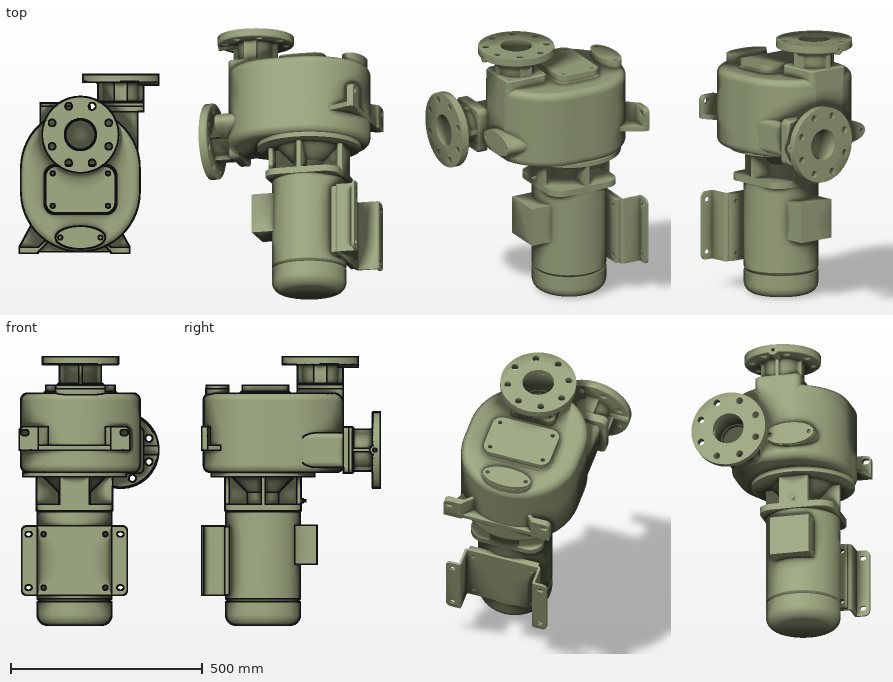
import cadquery as cq
import math


MOTOR_R = 97.5
CAP_TOP_Z = 61.0
CAP_FILLET = 28.0
SHELL_BOTTOM_Z = 69.5
SHELL_BOTTOM_R = 88.5
SHELL_TOP_Z = 296.0
SPIGOT_R = 94.0
LANTERN_Z = 299.5

TERMINAL_BOX_W = 105.0
TERMINAL_BOX_Y = (81.5, 141.0)
TERMINAL_BOX_Z = (159.0, 262.0)

FOOT_W = 189.5
FOOT_BACK_Y = -88.0
FOOT_FACE_Y = -99.5
FOOT_Z = (80.0, 257.0)
MOUNT_FACE_Y = -160.5
SHEET = 6.0
WEB_BEND_R = 3.5
TAB_BEND_R = 5.0
BRACKET_WALL_X = 104.0
BRACKET_TIP_X = 138.0
BRACKET_Z = (78.0, 259.5)
BRACKET_CORNER_R = 14.0
BRACKET_HOLE_Z = (98.0, 238.0)
WEB_HOLE_X = 81.0
WEB_HOLE_D = 12.5
TAB_SLOT_X = 120.0
TAB_SLOT = (17.0, 12.5)

LANTERN_HALF = 99.5
LANTERN_CORNER_R = 39.0
LANTERN_BASE_TOP_Z = 316.0
LANTERN_HUB_R = 41.5
LANTERN_CONE_R = 81.5
LANTERN_CONE_Z = 347.0
LANTERN_WALL = (77.0, 11.0)
LANTERN_RIB_T = 10.5
NIPPLE_Z = 325.0
NIPPLE_STEM_R = 5.0
NIPPLE_HEAD_R = 3.0
NIPPLE_STEM_L = 5.5
NIPPLE_L = 11.0
COVER_DISC_R = 135.5
COVER_DISC_Z = 387.0

CASING_X = 15.5
CASING_R = 156.0
CASING_STRAIGHT = 61.0
CASING_BACK_Y = 210.0
CASING_BOTTOM_Z = 399.0
CASING_TOP_Z = 606.0
CASING_FILLET = 19.0

FLANGE_LENGTH = 83.5
FLANGE_R = 99.5
FLANGE_T = 21.0
BORE_R = 41.5
BOLT_CIRCLE_R = 80.0
BOLT_COUNT = 8
BOLT_D = 18.0
PIPE_R = 46.0
SQUARE = 121.0
SQUARE_CORNER_R = 15.0
SQUARE_T = 13.0
SQUARE_CHAMFER = 3.5
SQUARE_BOLT_PITCH = 95.5
SQUARE_BOLT_D = 8.5
FLAT_RIB = (109.5, 34.0)
THIN_RIB = (8.5, 119.0)
RIB_ROOT_R = 3.5
NECK_FILLET = 4.0
RIM_FILLET = 3.0
GAUGE_BOSS_R = 13.0
GAUGE_DEPTH = 15.0
GAUGE_HOLE_D = 10.0

PORT_R = 38.5
PORT_DEPTH = 12.0
SUCTION_Y = 149.5
DISCHARGE_X = 121.0
DISCHARGE_Z = 457.5
DISCHARGE_JOINT_Y = 223.0
NOZZLE = 90.0
NOZZLE_START_Y = 56.0

LID_TOP_Z = 627.0
LID_X = 181.0
LID_Y = (-55.0, 66.5)
LID_CORNER_R = 25.0
LID_FOOT = 4.0
LID_FOOT_CHAMFER = 3.5
LID_BOLT_PITCH_X = 144.5
LID_BOLT_PITCH_Y = 85.0
COVER_BOLT_D = 12.0
OVAL_A = 64.5
OVAL_B = 29.5
OVAL_PLATE_T = 9.0
OVAL_SEAT_STEP = 1.0
OVAL_BOLT_X = 52.5
OVAL_LID_Y = -119.0
OVAL_BACK_X = -24.5

FOOT_TIP_X = 144.5
FOOT_INNER_X = 95.0
FOOT_TOP_Z = 518.5
FOOT_BOTTOM_Z = 457.5
FOOT_PAD_T = 16.0
FOOT_CORNER_R = 13.0
FOOT_SLOT_X = 130.0
FOOT_SLOT_Z = 503.0
FOOT_SLOT = (21.0, 16.0)
SHELF_T = 12.0
SHELF_FRONT_Y = -156.5
SHELF_BACK_X = 114.0
SHELF_BACK_Y = -88.5
BRACE_RUN = 42.0
BRACE_OFFSET = 12.0

OVERALL_HEIGHT = 701.5
SUCTION_JOINT_Z = OVERALL_HEIGHT - FLANGE_LENGTH


def box(x, y, z):
    """Box between pairs of coordinates."""
    size = (x[1] - x[0], y[1] - y[0], z[1] - z[0])
    return cq.Workplane("XY").box(*size, centered=False).translate((x[0], y[0], z[0]))


def cylinder(radius, start, direction, length):
    """Round bar or hole tool from a start point."""
    solid = cq.Solid.makeCylinder(radius, length, cq.Vector(*start), cq.Vector(*direction))
    return cq.Workplane(obj=solid)


def front_slot(x, z, size, face_y, depth):
    """Horizontal slot tool entering from the mounting face toward +Y."""
    plane = cq.Workplane("XZ", origin=(x, face_y, z))
    return plane.slot2D(*size).extrude(-depth)


def make_flange():
    """Pipe flange on its joint face, opening toward +Z, with the gauge boss on the +Y side."""
    under_z = FLANGE_LENGTH - FLANGE_T
    square = (
        cq.Workplane("XY").rect(SQUARE, SQUARE).extrude(SQUARE_T)
        .edges("|Z").fillet(SQUARE_CORNER_R)
        .faces(">Z").edges().chamfer(SQUARE_CHAMFER)
        .faces(">Z").workplane(origin=(0, 0, 0))
        .rect(SQUARE_BOLT_PITCH, SQUARE_BOLT_PITCH, forConstruction=True).vertices()
        .hole(SQUARE_BOLT_D)
    )
    disc = (
        cq.Workplane("XY", origin=(0, 0, under_z)).circle(FLANGE_R).extrude(FLANGE_T)
        .faces(">Z").workplane(origin=(0, 0, 0))
        .polarArray(BOLT_CIRCLE_R, 180 / BOLT_COUNT, 360, BOLT_COUNT).hole(BOLT_D)
        .edges("%CIRCLE and <Z").edges(cq.selectors.RadiusNthSelector(-1)).fillet(RIM_FILLET)
    )
    neck = cq.Workplane("XY").circle(PIPE_R).extrude(under_z)
    for rib in (FLAT_RIB, THIN_RIB):
        neck = neck.union(cq.Workplane("XY").rect(*rib).extrude(under_z))
    rib_roots = neck.edges("|Z").filter(
        lambda edge: math.hypot(edge.Center().x, edge.Center().y) < 1.01 * PIPE_R
    )
    neck = rib_roots.fillet(RIB_ROOT_R)
    neck_reach = THIN_RIB[1] / 2 + NECK_FILLET
    neck_top = cq.selectors.BoxSelector(
        (-neck_reach, -neck_reach, under_z - NECK_FILLET),
        (neck_reach, neck_reach, under_z + NECK_FILLET), boundingbox=True,
    )
    collar = neck.union(disc).edges(neck_top).fillet(NECK_FILLET)

    gauge_z = FLANGE_LENGTH - GAUGE_DEPTH
    envelope = cq.Workplane("XY").circle(FLANGE_R).extrude(FLANGE_LENGTH)
    gauge_boss = cylinder(GAUGE_BOSS_R, (0, 0, gauge_z), (0, 1, 0), FLANGE_R).intersect(envelope)
    gauge_hole = cylinder(GAUGE_HOLE_D / 2, (0, 0, gauge_z), (0, 1, 0), FLANGE_R)
    bore = cq.Workplane("XY").circle(BORE_R).extrude(FLANGE_LENGTH)

    body = square.union(collar).union(gauge_boss)
    return body.cut(bore).cut(gauge_hole)


def make_shell():
    """Round-ended tank with a flat back and rounded upper and lower rims."""
    flat_half = math.sqrt(CASING_R**2 - (CASING_BACK_Y - CASING_STRAIGHT) ** 2)
    diagonal = CASING_R / math.sqrt(2)
    right = CASING_X + CASING_R
    left = CASING_X - CASING_R
    shell = (
        cq.Workplane("XY", origin=(0, 0, CASING_BOTTOM_Z))
        .moveTo(right, 0)
        .lineTo(right, CASING_STRAIGHT)
        .threePointArc(
            (CASING_X + diagonal, CASING_STRAIGHT + diagonal), (CASING_X + flat_half, CASING_BACK_Y)
        )
        .lineTo(CASING_X - flat_half, CASING_BACK_Y)
        .threePointArc((CASING_X - diagonal, CASING_STRAIGHT + diagonal), (left, CASING_STRAIGHT))
        .lineTo(left, 0)
        .threePointArc((CASING_X, -CASING_R), (right, 0))
        .close()
        .extrude(CASING_TOP_Z - CASING_BOTTOM_Z)
    )
    return shell.faces("<Z or >Z").edges().fillet(CASING_FILLET)


def make_suction_boss():
    """Square seat of the suction flange, flush with the flat back."""
    root_z = CASING_TOP_Z - CASING_FILLET
    return (
        cq.Workplane("XY", origin=(CASING_X, SUCTION_Y, root_z))
        .rect(SQUARE, SQUARE).extrude(SUCTION_JOINT_Z - root_z)
        .edges("|Z").fillet(SQUARE_CORNER_R)
    )


def make_discharge_nozzle():
    """Square nozzle along the side of the tank, ending in the seat of the discharge flange."""
    nozzle = (
        cq.Workplane("XZ", origin=(DISCHARGE_X, NOZZLE_START_Y, DISCHARGE_Z))
        .rect(NOZZLE, NOZZLE).extrude(NOZZLE_START_Y - DISCHARGE_JOINT_Y)
        .edges("|Y").fillet(SQUARE_CORNER_R)
    )
    seat = (
        cq.Workplane("XZ", origin=(DISCHARGE_X, CASING_BACK_Y, DISCHARGE_Z))
        .rect(SQUARE, SQUARE).extrude(CASING_BACK_Y - DISCHARGE_JOINT_Y)
        .edges("|Y").fillet(SQUARE_CORNER_R)
    )
    return nozzle.union(seat)


def make_lid():
    """Rectangular inspection lid with four bolt holes and a bevelled foot."""
    height = LID_TOP_Z - CASING_TOP_Z
    depth = LID_Y[1] - LID_Y[0]
    lid = (
        cq.Workplane("XY", origin=(CASING_X, sum(LID_Y) / 2, CASING_TOP_Z))
        .rect(LID_X, depth).extrude(height)
        .edges("|Z").fillet(LID_CORNER_R)
    )
    foot = (
        cq.Workplane("XY", origin=(CASING_X, sum(LID_Y) / 2, CASING_TOP_Z))
        .rect(LID_X + 2 * LID_FOOT, depth + 2 * LID_FOOT).extrude(LID_FOOT)
        .edges("|Z").fillet(LID_CORNER_R + LID_FOOT)
        .faces(">Z").edges().chamfer(LID_FOOT_CHAMFER)
    )
    return (
        lid.union(foot)
        .faces(">Z").workplane(origin=(CASING_X, sum(LID_Y) / 2, LID_TOP_Z))
        .rect(LID_BOLT_PITCH_X, LID_BOLT_PITCH_Y, forConstruction=True).vertices()
        .hole(COVER_BOLT_D, height)
    )


def make_oval_cover(seat_height):
    """Oval cover plate on a slightly larger oval seat, rising from the XY plane."""
    seat = (
        cq.Workplane("XY").ellipse(OVAL_A + OVAL_SEAT_STEP, OVAL_B + OVAL_SEAT_STEP)
        .extrude(seat_height)
    )
    return (
        seat.faces(">Z").workplane().ellipse(OVAL_A, OVAL_B).extrude(OVAL_PLATE_T)
        .faces(">Z").workplane()
        .pushPoints([(-OVAL_BOLT_X, 0), (OVAL_BOLT_X, 0)]).hole(COVER_BOLT_D, OVAL_PLATE_T)
    )


def make_oval_covers():
    """One oval cover near the front of the top and one on the back."""
    top_seat_z = CASING_TOP_Z - CASING_FILLET
    top = make_oval_cover(SUCTION_JOINT_Z - top_seat_z)
    top = top.translate((CASING_X, OVAL_LID_Y, top_seat_z))
    back_seat_y = CASING_STRAIGHT
    back = make_oval_cover(DISCHARGE_JOINT_Y - back_seat_y).rotate((0, 0, 0), (1, 0, 0), -90)
    back = back.translate((OVAL_BACK_X, back_seat_y, DISCHARGE_Z))
    return top.union(back)


def make_casing_foot(side):
    """Mounting pad with its slot and the diagonal brace to the tank; side is -1 or +1."""
    height = FOOT_TOP_Z - FOOT_BOTTOM_Z
    width = FOOT_TIP_X - FOOT_INNER_X
    pad = (
        cq.Workplane("XY").box(width, FOOT_PAD_T, height, centered=False)
        .translate((FOOT_INNER_X, MOUNT_FACE_Y, FOOT_BOTTOM_Z))
        .edges("|Y and >X and >Z").fillet(FOOT_CORNER_R)
        .cut(front_slot(FOOT_SLOT_X, FOOT_SLOT_Z, FOOT_SLOT, MOUNT_FACE_Y, FOOT_PAD_T))
    )
    brace_tip_x = FOOT_INNER_X - BRACE_RUN
    brace_tip_y = SHELF_FRONT_Y + BRACE_RUN
    brace = (
        cq.Workplane("XY", origin=(0, 0, FOOT_BOTTOM_Z))
        .polyline([
            (FOOT_INNER_X, SHELF_FRONT_Y),
            (FOOT_INNER_X, SHELF_FRONT_Y + BRACE_OFFSET),
            (brace_tip_x, brace_tip_y + BRACE_OFFSET),
            (brace_tip_x, brace_tip_y),
        ])
        .close().extrude(height)
    )
    foot = pad.union(brace)
    return foot if side > 0 else foot.mirror("YZ")


def make_casing_shelf():
    """Flat shelf joining both casing feet to the tank."""
    pad_back_y = MOUNT_FACE_Y + FOOT_PAD_T
    return (
        cq.Workplane("XY", origin=(0, 0, FOOT_BOTTOM_Z))
        .polyline([
            (-SHELF_BACK_X, SHELF_BACK_Y),
            (-FOOT_TIP_X, pad_back_y),
            (-FOOT_TIP_X, SHELF_FRONT_Y),
            (FOOT_TIP_X, SHELF_FRONT_Y),
            (FOOT_TIP_X, pad_back_y),
            (SHELF_BACK_X, SHELF_BACK_Y),
        ])
        .close().extrude(SHELF_T)
    )


def make_lantern():
    """Open lantern below the tank: square base, hub with cone, cross ribs, end walls and cover disc."""
    height = COVER_DISC_Z - LANTERN_Z
    side = 2 * LANTERN_HALF
    base = (
        cq.Workplane("XY", origin=(0, 0, LANTERN_Z)).rect(side, side)
        .extrude(LANTERN_BASE_TOP_Z - LANTERN_Z)
        .edges("|Z").fillet(LANTERN_CORNER_R)
    )
    hub = (
        cq.Workplane("XZ")
        .polyline([
            (0, LANTERN_Z),
            (LANTERN_HUB_R, LANTERN_Z),
            (LANTERN_HUB_R, LANTERN_CONE_Z),
            (LANTERN_CONE_R, COVER_DISC_Z),
            (0, COVER_DISC_Z),
        ])
        .close().revolve(360, (0, 0, 0), (0, 1, 0))
    )
    plane = cq.Workplane("XY", origin=(0, 0, LANTERN_Z))
    ribs = plane.rect(side, LANTERN_RIB_T).extrude(height)
    ribs = ribs.union(plane.rect(LANTERN_RIB_T, side).extrude(height))
    wall_y = LANTERN_HALF - LANTERN_WALL[1] / 2
    walls = plane.pushPoints([(0, wall_y), (0, -wall_y)]).rect(*LANTERN_WALL).extrude(height)
    disc = (
        cq.Workplane("XY", origin=(0, 0, COVER_DISC_Z)).circle(COVER_DISC_R)
        .extrude(CASING_BOTTOM_Z - COVER_DISC_Z)
    )
    nipple_start = (0, LANTERN_HALF, NIPPLE_Z)
    stem = cylinder(NIPPLE_STEM_R, nipple_start, (0, 1, 0), NIPPLE_STEM_L)
    head = cylinder(NIPPLE_HEAD_R, nipple_start, (0, 1, 0), NIPPLE_L)
    return base.union(hub).union(ribs).union(walls).union(disc).union(stem).union(head)


def make_pump_casing():
    casing = make_shell().union(make_suction_boss()).union(make_discharge_nozzle())
    casing = casing.union(make_lid()).union(make_oval_covers()).union(make_casing_shelf())
    for side in (-1, 1):
        casing = casing.union(make_casing_foot(side))
    casing = casing.union(make_lantern())
    suction_port = cylinder(PORT_R, (CASING_X, SUCTION_Y, SUCTION_JOINT_Z), (0, 0, -1), PORT_DEPTH)
    discharge_start = (DISCHARGE_X, DISCHARGE_JOINT_Y, DISCHARGE_Z)
    discharge_port = cylinder(PORT_R, discharge_start, (0, -1, 0), PORT_DEPTH)
    return casing.cut(suction_port).cut(discharge_port)


def make_motor_barrel():
    """Turned motor: rounded fan cap, groove, shell and the spigot under the lantern."""
    return (
        cq.Workplane("XZ")
        .moveTo(0, 0)
        .lineTo(MOTOR_R - CAP_FILLET, 0)
        .radiusArc((MOTOR_R, CAP_FILLET), -CAP_FILLET)
        .lineTo(MOTOR_R, CAP_TOP_Z)
        .lineTo(SHELL_BOTTOM_R, CAP_TOP_Z)
        .lineTo(MOTOR_R, SHELL_BOTTOM_Z)
        .lineTo(MOTOR_R, SHELL_TOP_Z)
        .lineTo(SPIGOT_R, SHELL_TOP_Z)
        .lineTo(SPIGOT_R, LANTERN_Z)
        .lineTo(0, LANTERN_Z)
        .close().revolve(360, (0, 0, 0), (0, 1, 0))
    )


def make_motor_bracket():
    """Hat-shaped sheet bracket: web on the motor feet, two walls and two slotted tabs."""
    web_front_y = FOOT_FACE_Y - SHEET
    tab_back_y = MOUNT_FACE_Y + SHEET
    wall_inner_x = BRACKET_WALL_X - SHEET
    half = [
        (0, FOOT_FACE_Y),
        (BRACKET_WALL_X, FOOT_FACE_Y),
        (BRACKET_WALL_X, tab_back_y),
        (BRACKET_TIP_X, tab_back_y),
        (BRACKET_TIP_X, MOUNT_FACE_Y),
        (wall_inner_x, MOUNT_FACE_Y),
        (wall_inner_x, web_front_y),
        (0, web_front_y),
    ]
    height = BRACKET_Z[1] - BRACKET_Z[0]
    sheet = cq.Workplane("XY", origin=(0, 0, BRACKET_Z[0])).polyline(half).close().extrude(height)
    bends = [
        (BRACKET_WALL_X, FOOT_FACE_Y, WEB_BEND_R + SHEET),
        (wall_inner_x, web_front_y, WEB_BEND_R),
        (wall_inner_x, MOUNT_FACE_Y, TAB_BEND_R),
    ]
    mid_z = sum(BRACKET_Z) / 2
    for x, y, radius in bends:
        edge = cq.selectors.NearestToPointSelector((x, y, mid_z))
        sheet = sheet.edges("|Z").edges(edge).fillet(radius)
    sheet = sheet.edges("|Y and >X").fillet(BRACKET_CORNER_R)
    for z in BRACKET_HOLE_Z:
        sheet = sheet.cut(front_slot(TAB_SLOT_X, z, TAB_SLOT, MOUNT_FACE_Y, SHEET))
    return sheet.union(sheet.mirror("YZ"))


def make_motor():
    half_box = TERMINAL_BOX_W / 2
    terminal_box = box((-half_box, half_box), TERMINAL_BOX_Y, TERMINAL_BOX_Z)
    feet = box((-FOOT_W / 2, FOOT_W / 2), (FOOT_FACE_Y, FOOT_BACK_Y), FOOT_Z)
    mounting = feet.union(make_motor_bracket())
    bolt_length = FOOT_BACK_Y - FOOT_FACE_Y + SHEET
    for x in (-WEB_HOLE_X, WEB_HOLE_X):
        for z in BRACKET_HOLE_Z:
            start = (x, FOOT_FACE_Y - SHEET, z)
            mounting = mounting.cut(cylinder(WEB_HOLE_D / 2, start, (0, 1, 0), bolt_length))
    return make_motor_barrel().union(terminal_box).union(mounting)


pump_casing = make_pump_casing()
motor = make_motor()

flange_places = [
    (240, (DISCHARGE_X, DISCHARGE_JOINT_Y, DISCHARGE_Z)),
    (0, (CASING_X, SUCTION_Y, SUCTION_JOINT_Z)),
]
flanges = []
for turn, place in flange_places:
    flanges.append(make_flange().rotate((0, 0, 0), (1, 1, 1), turn).translate(place))

result = cq.Compound.makeCompound([
    pump_casing.val(),
    motor.val(),
    *[flange.val() for flange in flanges],
])